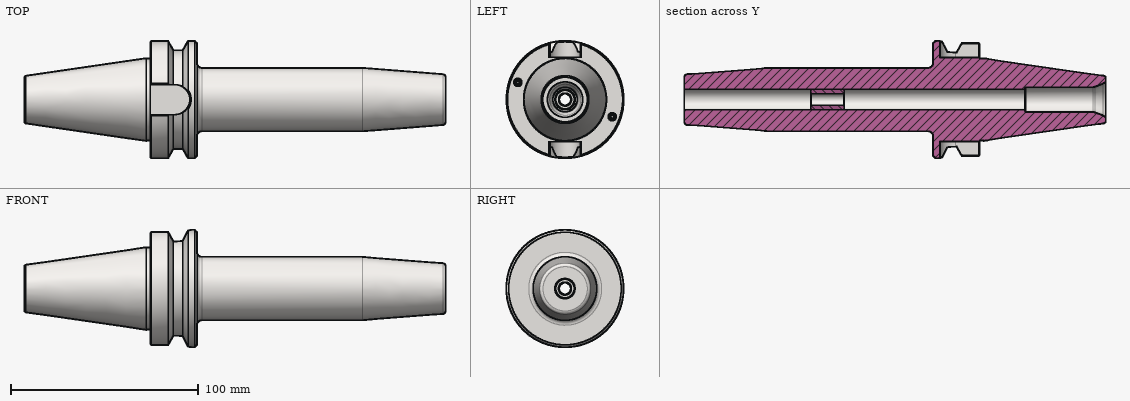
import cadquery as cq
import math

total_length = 225.5
gauge_plane = 65.4
flange_start = 67.5
flange_end = 92.5
nose_start = 180.8

gauge_diameter = 44.5
taper_ratio = 7 / 24
taper_end_chamfer = 1.0
relief_diameter = 44.0
flange_diameter = 63.0
flange_front_chamfer = 0.7
flange_back_chamfer = 1.4
shank_diameter = 34.0
shank_fillet = 2.5
nose_diameter = 27.0
nose_fillet = 1.8

groove_center = 82.3
groove_floor_diameter = 53.0
groove_floor_width = 5.0
groove_wall_angle = 30.0

slot_width = 16.0
slot_end = 88.5
slot_floor_height = 22.5

mouth_diameter = 19.0
mouth_chamfer_depth = 1.8
lead_in_diameter = 16.7
lead_in_end_diameter = 13.5
lead_in_end_depth = 6.0
thread_diameter = 13.0
thread_depth = 42.8
passage_diameter = 10.8
thread_start_angle = 15.0
thread_end_angle = 60.0

stop_screw_start = 139.8
stop_screw_length = 18.0
stop_screw_hole = 6.0
stop_screw_chamfer = 0.5

set_screw_circle_diameter = 53.6
set_screw_angle = 20.0
set_screw_count = 2
set_screw_diameter = 4.0
set_screw_length = 5.0
set_screw_recess = 1.8
set_screw_socket_sides = 6
set_screw_socket_width = 1.5
set_screw_socket_depth = 2.0
set_screw_countersink_diameter = 3.4
set_screw_countersink_depth = 1.0
set_screw_mouth_diameter = 4.3
set_screw_mouth_depth = 0.11


def revolve_about_x(profile):
    """Turn a closed (x, radius) outline around the X axis."""
    return profile.close().revolve(360, (0, 0, 0), (1, 0, 0))


def cylinder_along_x(start, length, diameter):
    return cq.Workplane("YZ", origin=(start, 0, 0)).circle(diameter / 2).extrude(length)


def make_outside():
    small_end_radius = (gauge_diameter - gauge_plane * taper_ratio) / 2
    chamfer_radius = small_end_radius + taper_end_chamfer * taper_ratio / 2
    flange_radius = flange_diameter / 2
    shank_radius = shank_diameter / 2
    body = revolve_about_x(
        cq.Workplane("XY")
        .moveTo(0, 0)
        .lineTo(0, chamfer_radius - taper_end_chamfer)
        .lineTo(taper_end_chamfer, chamfer_radius)
        .lineTo(gauge_plane, gauge_diameter / 2)
        .lineTo(gauge_plane, relief_diameter / 2)
        .lineTo(flange_start, relief_diameter / 2)
        .lineTo(flange_start, flange_radius)
        .lineTo(flange_end - flange_back_chamfer, flange_radius)
        .lineTo(flange_end, flange_radius - flange_back_chamfer)
        .lineTo(flange_end, shank_radius + shank_fillet)
        .radiusArc((flange_end + shank_fillet, shank_radius), -shank_fillet)
        .lineTo(nose_start, shank_radius)
        .lineTo(total_length, nose_diameter / 2)
        .lineTo(total_length, 0)
    )
    return body.faces(">X").edges().fillet(nose_fillet)


def make_groove():
    floor_radius = groove_floor_diameter / 2
    rim_radius = flange_diameter / 2
    floor_half = groove_floor_width / 2
    rim_half = floor_half + (rim_radius - floor_radius) * math.tan(math.radians(groove_wall_angle))
    return revolve_about_x(
        cq.Workplane("XY")
        .moveTo(groove_center - floor_half, floor_radius)
        .lineTo(groove_center - rim_half, rim_radius)
        .lineTo(groove_center + rim_half, rim_radius)
        .lineTo(groove_center + floor_half, floor_radius)
    )


def make_slot():
    """Cutter for the slot at the top of the flange: open towards -X, round at its other end."""
    half_width = slot_width / 2
    round_center = slot_end - half_width
    return (
        cq.Workplane("XY", origin=(0, 0, slot_floor_height))
        .moveTo(flange_start, -half_width)
        .lineTo(round_center, -half_width)
        .threePointArc((slot_end, 0), (round_center, half_width))
        .lineTo(flange_start, half_width)
        .close()
        .extrude(flange_diameter / 2)
    )


def cone_length(large_diameter, small_diameter, angle):
    """Length of a conical step whose wall stands at the given angle to the axis."""
    return (large_diameter - small_diameter) / 2 / math.tan(math.radians(angle))


def make_bore():
    thread_start = lead_in_end_depth + cone_length(lead_in_end_diameter, thread_diameter, thread_start_angle)
    passage_start = thread_depth + cone_length(thread_diameter, passage_diameter, thread_end_angle)
    return revolve_about_x(
        cq.Workplane("XY")
        .moveTo(0, 0)
        .lineTo(0, mouth_diameter / 2)
        .lineTo(mouth_chamfer_depth, lead_in_diameter / 2)
        .lineTo(lead_in_end_depth, lead_in_end_diameter / 2)
        .lineTo(thread_start, thread_diameter / 2)
        .lineTo(thread_depth, thread_diameter / 2)
        .lineTo(passage_start, passage_diameter / 2)
        .lineTo(total_length, passage_diameter / 2)
        .lineTo(total_length, 0)
    )


def at_set_screw(shape, index):
    """Move a shape from the X axis to one of the set screw places around it."""
    angle = set_screw_angle + index * 360 / set_screw_count
    return shape.translate((0, set_screw_circle_diameter / 2, 0)).rotate((0, 0, 0), (1, 0, 0), angle)


def make_set_screw_hole():
    """Cutter for a blind hole, slightly widened at its mouth."""
    radius = set_screw_diameter / 2
    mouth_radius = set_screw_mouth_diameter / 2
    depth = set_screw_recess + set_screw_length
    return revolve_about_x(
        cq.Workplane("XY")
        .moveTo(flange_start, 0)
        .lineTo(flange_start, mouth_radius)
        .lineTo(flange_start + set_screw_mouth_depth, radius)
        .lineTo(flange_start + depth, radius)
        .lineTo(flange_start + depth, 0)
    )


def flange_edges_to_break(holder):
    """Outline of the flange's front face, without the slot floors, and the slot edges on the rim."""
    tolerance = 0.02
    rim_radius = flange_diameter / 2
    edges_to_break = []
    for edge in holder.edges().vals():
        start = edge.startPoint()
        end = edge.endPoint()
        on_rim = all(math.hypot(p.y, p.z) > rim_radius - tolerance for p in (start, end))
        on_front = all(abs(p.x - flange_start) < tolerance for p in (start, end))
        at_slot_end = edge.Center().x > groove_center and max(abs(start.y), abs(end.y)) < slot_width / 2
        along_axis = abs(start.x - end.x) > tolerance
        on_wall = abs(start.y - end.y) < tolerance and abs(start.z - end.z) > tolerance
        if on_rim and (on_front or along_axis or (at_slot_end and edge.geomType() == "BSPLINE")):
            edges_to_break.append(edge)
        elif on_front and on_wall:
            edges_to_break.append(edge)
    return edges_to_break


def make_holder():
    holder = make_outside().cut(make_groove())
    slot = make_slot()
    for turn in (0, 180):
        holder = holder.cut(slot.rotate((0, 0, 0), (1, 0, 0), turn))
    holder = holder.newObject(flange_edges_to_break(holder)).chamfer(flange_front_chamfer)
    holder = holder.cut(make_bore())
    for index in range(set_screw_count):
        holder = holder.cut(at_set_screw(make_set_screw_hole(), index))
    return holder


def make_stop_screw():
    screw = cylinder_along_x(stop_screw_start, stop_screw_length, passage_diameter)
    screw = screw.cut(cylinder_along_x(stop_screw_start, stop_screw_length, stop_screw_hole))
    return screw.faces("<X or >X").chamfer(stop_screw_chamfer)


def make_set_screw():
    start = flange_start + set_screw_recess
    screw = cylinder_along_x(start, set_screw_length, set_screw_diameter)
    corner_diameter = set_screw_socket_width / math.cos(math.pi / set_screw_socket_sides)
    socket = (
        cq.Workplane("YZ", origin=(start, 0, 0))
        .polygon(set_screw_socket_sides, corner_diameter)
        .extrude(set_screw_socket_depth)
    )
    countersink = revolve_about_x(
        cq.Workplane("XY")
        .moveTo(start, 0)
        .lineTo(start, set_screw_countersink_diameter / 2)
        .lineTo(start + set_screw_countersink_depth, set_screw_socket_width / 2)
        .lineTo(start + set_screw_countersink_depth, 0)
    )
    return screw.cut(socket).cut(countersink)


holder = make_holder()
stop_screw = make_stop_screw()
set_screws = [at_set_screw(make_set_screw(), index) for index in range(set_screw_count)]

result = cq.Compound.makeCompound(
    [holder.val(), stop_screw.val(), *[screw.val() for screw in set_screws]]
)